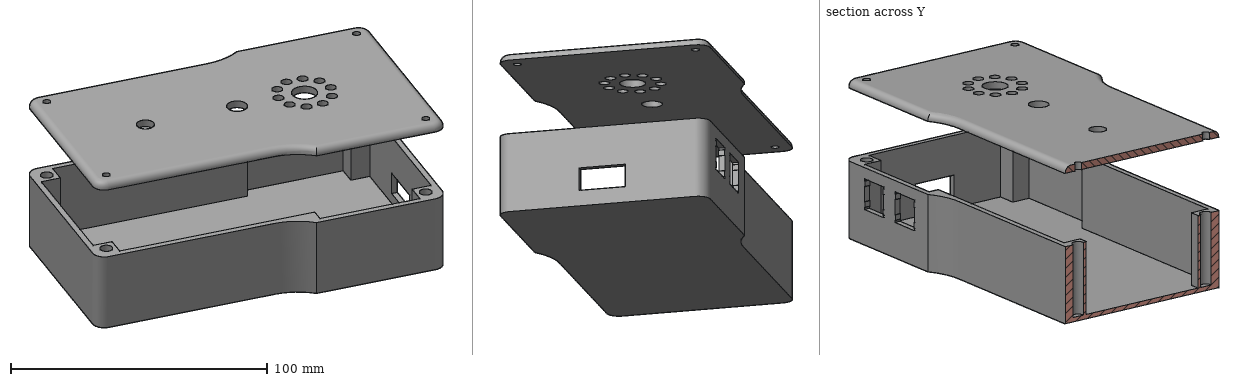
import cadquery as cq
import math

LENGTH = 145.0
HANDLE_WIDTH = 75.0
HEAD_LEFT_STEP = 4.5
HEAD_RIGHT_STEP = 5.5
HEAD_LENGTH = 55.0
NECK_RADIUS = 25.0
CORNER_RADIUS = 5.0

HANDLE_X = HANDLE_WIDTH / 2
HEAD_LEFT_X = -HANDLE_X - HEAD_LEFT_STEP
HEAD_RIGHT_X = HANDLE_X + HEAD_RIGHT_STEP
HEAD_MID_X = (HEAD_LEFT_X + HEAD_RIGHT_X) / 2
HEAD_Y = LENGTH - HEAD_LENGTH

BOX_HEIGHT = 31.9
WALL = 2.5
FLOOR = 2.0

SCREW_INSET = 6.4
BOSS_SIZE = 10.5
BOSS_BORE_DIAMETER = 5.0
LID_SCREW_DIAMETER = 3.0

SWITCH_SIZE = 12.6
SWITCH_BOTTOM_Z = 14.6
SWITCH_END_INSET = 13.5
SWITCH_PITCH = 20.0
SWITCH_COUNT = 2
RIB_DEPTH = 0.3
RIB_HEIGHT = 2.3
RIB_INSET = 0.9

PORT_WIDTH = 18.5
PORT_HEIGHT = 9.1
PORT_BOTTOM_Z = 6.4

LID_THICKNESS = 3.0
LID_GAP = 30.0
LID_EDGE_RADIUS = 2.9
LID_Z = BOX_HEIGHT + LID_GAP

DIAL_Y = LENGTH - 42.6
DIAL_DIAMETER = 10.2
RING_RADIUS = 11.0
RING_HOLE_DIAMETER = 4.2
RING_HOLE_COUNT = 10
UPPER_HOLE_Y = LENGTH - 71.0
UPPER_HOLE_DIAMETER = 8.1
LOWER_HOLE_Y = LENGTH - 109.6
LOWER_HOLE_DIAMETER = 7.0

SCREW_POINTS = [
    (HEAD_LEFT_X + SCREW_INSET, LENGTH - SCREW_INSET),
    (HEAD_RIGHT_X - SCREW_INSET, LENGTH - SCREW_INSET),
    (-HANDLE_X + SCREW_INSET, SCREW_INSET),
    (HANDLE_X - SCREW_INSET, SCREW_INSET),
]


def block(x_min, x_max, y_min, y_max, z_min, z_max):
    """Axis-aligned block between the given limits."""
    size = (x_max - x_min, y_max - y_min, z_max - z_min)
    return cq.Workplane("XY").box(*size, centered=False).translate((x_min, y_min, z_min))


def cylinder(x, y, diameter, z_min, z_max):
    """Upright cylinder between two heights."""
    return cq.Workplane("XY", origin=(x, y, z_min)).circle(diameter / 2).extrude(z_max - z_min)


def neck_arc(side, step):
    """Lower end, middle and upper end of the neck arc; side is 1 for +X and -1 for -X.

    The arc leaves the handle's side tangentially and meets the head's side at a corner.
    """
    sweep = math.acos(1 - step / NECK_RADIUS)
    lower_y = HEAD_Y - NECK_RADIUS * math.sin(sweep)

    def point_at(angle):
        x = HANDLE_X + NECK_RADIUS * (1 - math.cos(angle))
        return side * x, lower_y + NECK_RADIUS * math.sin(angle)

    return point_at(0), point_at(sweep / 2), point_at(sweep)


def body_blank(height):
    """Plate of the full outline with rounded outer corners and arcs at the neck."""
    right_lower, right_middle, right_upper = neck_arc(1, HEAD_RIGHT_STEP)
    left_lower, left_middle, left_upper = neck_arc(-1, HEAD_LEFT_STEP)
    blank = (
        cq.Workplane("XY")
        .moveTo(-HANDLE_X, 0)
        .lineTo(HANDLE_X, 0)
        .lineTo(*right_lower)
        .threePointArc(right_middle, right_upper)
        .lineTo(HEAD_RIGHT_X, LENGTH)
        .lineTo(HEAD_LEFT_X, LENGTH)
        .lineTo(*left_upper)
        .threePointArc(left_middle, left_lower)
        .close()
        .extrude(height)
    )
    handle_end = blank.faces("<Y").edges("|Z")
    head_end = blank.faces(">Y").edges("|Z")
    return blank.newObject(handle_end.vals() + head_end.vals()).fillet(CORNER_RADIUS)


def corner_block(x, y):
    """Square block around a screw axis, flush with the two nearest outer sides of the box."""
    reach = BOSS_SIZE - SCREW_INSET
    x_limits = sorted((x + math.copysign(SCREW_INSET, x), x - math.copysign(reach, x)))
    if y > HEAD_Y:
        y_limits = (y - reach, y + SCREW_INSET)
    else:
        y_limits = (y - SCREW_INSET, y + reach)
    return block(*x_limits, *y_limits, 0, BOX_HEIGHT)


def cavity():
    """Inside of the box: handle and head rooms, less the four corner blocks."""
    handle_room = block(-HANDLE_X + WALL, HANDLE_X - WALL, WALL, LENGTH - WALL, FLOOR, BOX_HEIGHT)
    head_room = block(
        HEAD_LEFT_X + WALL, HEAD_RIGHT_X - WALL, HEAD_Y + WALL, LENGTH - WALL, FLOOR, BOX_HEIGHT
    )
    room = handle_room.union(head_room)
    for x, y in SCREW_POINTS:
        room = room.cut(corner_block(x, y))
    return room


def switch_window(y_min):
    """Square opening through the -X wall, narrowed by four small ribs."""
    y_max = y_min + SWITCH_SIZE
    top_z = SWITCH_BOTTOM_Z + SWITCH_SIZE
    x_min = HEAD_LEFT_X
    x_max = HEAD_LEFT_X + WALL
    window = block(x_min, x_max, y_min, y_max, SWITCH_BOTTOM_Z, top_z)
    for rib_z in (SWITCH_BOTTOM_Z + RIB_INSET, top_z - RIB_INSET - RIB_HEIGHT):
        for rib_y in (y_min, y_max - RIB_DEPTH):
            window = window.cut(block(x_min, x_max, rib_y, rib_y + RIB_DEPTH, rib_z, rib_z + RIB_HEIGHT))
    return window


def port_window():
    """Rectangular opening through the +Y wall, centred on the head."""
    x_min = HEAD_MID_X - PORT_WIDTH / 2
    x_max = HEAD_MID_X + PORT_WIDTH / 2
    return block(x_min, x_max, LENGTH - WALL, LENGTH, PORT_BOTTOM_Z, PORT_BOTTOM_Z + PORT_HEIGHT)


def make_box():
    """Open-topped box with bored corner blocks, switch windows and a port."""
    shell = body_blank(BOX_HEIGHT).cut(cavity())
    for x, y in SCREW_POINTS:
        shell = shell.cut(cylinder(x, y, BOSS_BORE_DIAMETER, FLOOR, BOX_HEIGHT))
    first_window_y = LENGTH - SWITCH_END_INSET - SWITCH_SIZE
    for index in range(SWITCH_COUNT):
        shell = shell.cut(switch_window(first_window_y - index * SWITCH_PITCH))
    return shell.cut(port_window())


def lid_holes():
    """Position and diameter of every hole through the lid."""
    holes = [
        (0, DIAL_Y, DIAL_DIAMETER),
        (0, UPPER_HOLE_Y, UPPER_HOLE_DIAMETER),
        (0, LOWER_HOLE_Y, LOWER_HOLE_DIAMETER),
    ]
    for index in range(RING_HOLE_COUNT):
        angle = math.pi / 2 + index * 2 * math.pi / RING_HOLE_COUNT
        ring_x = RING_RADIUS * math.cos(angle)
        ring_y = DIAL_Y + RING_RADIUS * math.sin(angle)
        holes.append((ring_x, ring_y, RING_HOLE_DIAMETER))
    for x, y in SCREW_POINTS:
        holes.append((x, y, LID_SCREW_DIAMETER))
    return holes


def make_lid():
    """Flat lid with a rounded top edge, pierced by its holes."""
    plate = body_blank(LID_THICKNESS).faces(">Z").edges().fillet(LID_EDGE_RADIUS)
    for x, y, diameter in lid_holes():
        plate = plate.cut(cylinder(x, y, diameter, 0, LID_THICKNESS))
    return plate.translate((0, 0, LID_Z))


box = make_box()
lid = make_lid()

result = cq.Compound.makeCompound([box.val(), lid.val()])